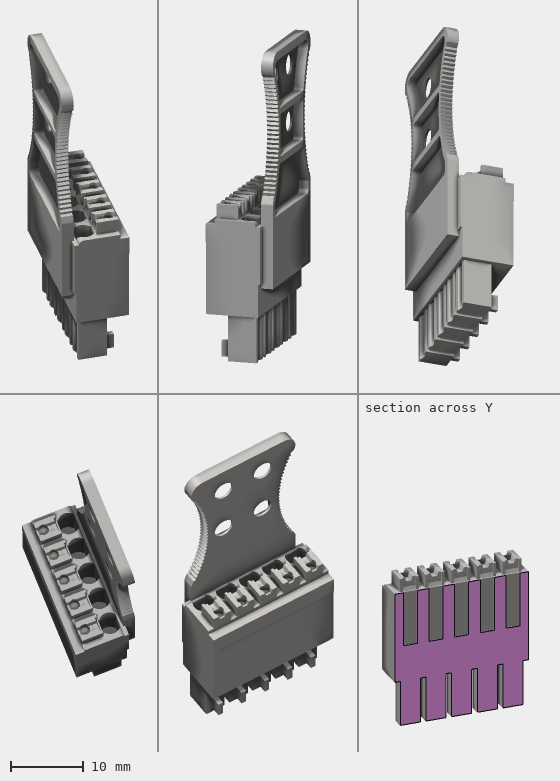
import cadquery as cq
import math


contact_count = 5
pitch = 3.81
contact_xs = [(i - (contact_count - 1) / 2) * pitch for i in range(contact_count)]

housing_width = 19.84
housing_bottom_z = 6.65
housing_top_z = 20.07
shoulder_z = 19.4
housing_back_y = 9.2
back_lip_y = 9.3
back_lip_bottom_z = 16.8
raised_back_y = 8.0
raised_front_y = 2.07
raised_front_radius = housing_top_z - shoulder_z
seat_y = 1.7
flange_y = 1.43
flange_bottom_z = 11.3

wire_hole_radius = 1.53
wire_hole_y = 3.35
wire_hole_depth = 8.0

prong_width = 3.04
prong_front_y = 2.2
prong_back_y = 6.28
groove_width = 1.72
groove_depth = 0.3
catch_width = 0.74
catch_back_y = 7.6
catch_bottom_z = 0.35
catch_top_z = 2.6

button_width = 2.8
button_front_y = 4.87
button_back_y = raised_back_y
button_top_z = 22.05
button_depth = 3.0
tongue_width = 2.0
tongue_front_y = 4.7
notch_back_y = 5.15
ramp_top_z = 20.65
ramp_bottom_z = housing_top_z
slot_top_width = 1.18
slot_floor_width = 0.72
slot_depth = 0.6
dimple_radius = 0.74
dimple_y = 7.03
dimple_depth = 1.5

handle_width = 17.2
handle_thickness = seat_y
handle_bottom_z = 10.5
handle_top_z = 43.6
handle_corner_radius = 1.97
handle_corner_tail_angle = 28.0
shoulder_start_z = 22.4
shoulder_blend_radius = 0.7

waist_z = 31.85
waist_half_width = 6.03
grip_radius = 18.0
grip_center_x = waist_half_width + grip_radius
tooth_angle = 2.02
tooth_depth = 0.3
teeth_each_way = 14

pocket_depth = 1.38
pocket_side_radius = grip_radius + 0.97
pocket_corner_radius = 0.5
upper_pocket_z = (35.42, 42.38)
upper_pocket_top_radius = 1.0
middle_pocket_z = (28.48, 34.5)
lower_pocket_z = (20.43, 27.52)
lower_pocket_width = 15.45
lower_pocket_bottom_radius = 0.8

handle_hole_diameter = 2.9
handle_hole_spacing_x = 6.44
handle_hole_zs = (31.5, 39.5)


def block(x_center, width, y_range, z_range):
    """Box centred on x_center in X, spanning the given Y and Z ranges."""
    return cq.Workplane("XY").box(
        width, y_range[1] - y_range[0], z_range[1] - z_range[0], centered=(True, False, False)
    ).translate((x_center, y_range[0], z_range[0]))


def button_blank(x):
    """Button outline: the block with the tongue that stands proud of it inside the housing."""
    bottom_z = housing_top_z - button_depth
    body = block(x, button_width, (button_front_y, button_back_y), (bottom_z, button_top_z))
    tongue = block(x, tongue_width, (tongue_front_y, button_back_y), (bottom_z, housing_top_z))
    return body.union(tongue)


def front_notch(x):
    """Notch in the front of a button, with a steep ramp for its floor."""
    return (
        cq.Workplane("YZ")
        .polyline([
            (tongue_front_y, ramp_bottom_z),
            (button_front_y, ramp_bottom_z),
            (notch_back_y, ramp_top_z),
            (notch_back_y, button_top_z),
            (tongue_front_y, button_top_z),
        ])
        .close()
        .extrude(tongue_width / 2, both=True)
        .translate((x, 0, 0))
    )


def screwdriver_slot(x):
    """Slot along the top of a button, narrowing to its floor."""
    slot_floor_z = button_top_z - slot_depth
    return (
        cq.Workplane("XZ", origin=(x, button_front_y, 0))
        .polyline([
            (-slot_floor_width / 2, slot_floor_z),
            (slot_floor_width / 2, slot_floor_z),
            (slot_top_width / 2, button_top_z),
            (-slot_top_width / 2, button_top_z),
        ])
        .close()
        .extrude(-(button_back_y - button_front_y))
    )


def dimple(x):
    """Round blind hole in the slot of a button."""
    return (
        cq.Workplane("XY", origin=(x, dimple_y, button_top_z))
        .circle(dimple_radius)
        .extrude(-dimple_depth)
    )


def make_button(x):
    return button_blank(x).cut(front_notch(x)).cut(screwdriver_slot(x)).cut(dimple(x))


def housing_body():
    """Side profile drawn across the full width, including the flanges beside the handle."""
    arc_offset = raised_front_radius * (1 - math.cos(math.radians(45)))
    return (
        cq.Workplane("YZ")
        .moveTo(seat_y, housing_bottom_z)
        .lineTo(housing_back_y, housing_bottom_z)
        .lineTo(housing_back_y, back_lip_bottom_z)
        .lineTo(back_lip_y, back_lip_bottom_z)
        .lineTo(back_lip_y, shoulder_z)
        .lineTo(raised_back_y, shoulder_z)
        .lineTo(raised_back_y, housing_top_z)
        .lineTo(raised_front_y + raised_front_radius, housing_top_z)
        .threePointArc(
            (raised_front_y + arc_offset, housing_top_z - arc_offset),
            (raised_front_y, shoulder_z),
        )
        .lineTo(flange_y, shoulder_z)
        .lineTo(flange_y, flange_bottom_z)
        .lineTo(seat_y, flange_bottom_z)
        .close()
        .extrude(housing_width / 2, both=True)
    )


def prong(x):
    """Prong with a shallow round groove down its front and a catch on its back."""
    prong_x = prong_width / 2
    groove_x = groove_width / 2
    body = (
        cq.Workplane("XY", origin=(x, 0, 0))
        .moveTo(-prong_x, prong_back_y)
        .lineTo(-prong_x, prong_front_y)
        .lineTo(-groove_x, prong_front_y)
        .threePointArc((0, prong_front_y + groove_depth), (groove_x, prong_front_y))
        .lineTo(prong_x, prong_front_y)
        .lineTo(prong_x, prong_back_y)
        .close()
        .extrude(housing_bottom_z)
    )
    catch = block(x, catch_width, (prong_back_y, catch_back_y), (catch_bottom_z, catch_top_z))
    return body.union(catch)


def wire_hole(x):
    """Round hole with a flat front and a flat-sided recess reaching back to the button's tongue."""
    y_range = (raised_front_y, tongue_front_y)
    z_range = (housing_top_z - wire_hole_depth, housing_top_z)
    round_part = (
        cq.Workplane("XY", origin=(x, wire_hole_y, housing_top_z))
        .circle(wire_hole_radius)
        .extrude(-wire_hole_depth)
        .intersect(block(x, pitch, y_range, z_range))
    )
    return round_part.union(block(x, tongue_width, y_range, z_range))


def make_housing():
    housing = housing_body()
    handle_seat = block(0, handle_width, (0, seat_y), (handle_bottom_z, housing_top_z))
    housing = housing.cut(handle_seat)
    for x in contact_xs:
        housing = housing.union(prong(x)).cut(wire_hole(x)).cut(button_blank(x))
    return housing


def grip_point(side, radius, angle):
    """Point at an angle above the waist on a grip arc; side is -1 for left and 1 for right."""
    a = math.radians(angle)
    return (side * (grip_center_x - radius * math.cos(a)), waist_z + radius * math.sin(a))


def grip_points(side):
    """Tooth tips, each followed by the valley above it, from the bottom of the grip to its top."""
    points = []
    for i in range(-teeth_each_way, teeth_each_way):
        points.append(grip_point(side, grip_radius, i * tooth_angle))
        points.append(grip_point(side, grip_radius + tooth_depth, (i + 0.5) * tooth_angle))
    return points


def handle_blank():
    half = handle_width / 2
    top_flat_x = half - handle_corner_radius
    corner_z = handle_top_z - handle_corner_radius
    tail = math.radians(handle_corner_tail_angle)
    tail_x = top_flat_x + handle_corner_radius * math.cos(tail)
    tail_z = corner_z - handle_corner_radius * math.sin(tail)
    left_grip = grip_points(-1)
    right_grip = grip_points(1)[::-1]
    outline = (
        cq.Workplane("XZ")
        .moveTo(half, handle_bottom_z)
        .lineTo(-half, handle_bottom_z)
        .lineTo(-half, shoulder_start_z)
    )
    for point in left_grip:
        outline = outline.lineTo(*point)
    outline = (
        outline.lineTo(-tail_x, tail_z)
        .threePointArc((-half, corner_z), (-top_flat_x, handle_top_z))
        .lineTo(top_flat_x, handle_top_z)
        .threePointArc((half, corner_z), (tail_x, tail_z))
    )
    for point in right_grip:
        outline = outline.lineTo(*point)
    blank = outline.lineTo(half, shoulder_start_z).close().extrude(-handle_thickness)
    selection_margin = 0.1
    shoulder_corners = cq.selectors.BoxSelector(
        (-handle_width, 0, shoulder_start_z - selection_margin),
        (handle_width, handle_thickness, shoulder_start_z + selection_margin),
    )
    return blank.edges("|Y").edges(shoulder_corners).fillet(shoulder_blend_radius)


def pocket(z_range, width, bottom_radius, top_radius):
    """Pocket whose sides follow the grips."""
    shape = block(0, width, (0, pocket_depth), z_range)
    for side in (-1, 1):
        grip = (
            cq.Workplane("XZ", origin=(side * grip_center_x, 0, waist_z))
            .circle(pocket_side_radius)
            .extrude(-pocket_depth)
        )
        shape = shape.cut(grip)
    shape = shape.faces("<Z").edges("|Y").fillet(bottom_radius)
    return shape.faces(">Z").edges("|Y").fillet(top_radius)


def make_handle():
    handle = handle_blank()
    pockets = [
        pocket(upper_pocket_z, handle_width, pocket_corner_radius, upper_pocket_top_radius),
        pocket(middle_pocket_z, handle_width, pocket_corner_radius, pocket_corner_radius),
        pocket(lower_pocket_z, lower_pocket_width, lower_pocket_bottom_radius, pocket_corner_radius),
    ]
    for recess in pockets:
        handle = handle.cut(recess)
    hole_centers = [(side * handle_hole_spacing_x / 2, z) for side in (-1, 1) for z in handle_hole_zs]
    holes = (
        cq.Workplane("XZ")
        .pushPoints(hole_centers)
        .circle(handle_hole_diameter / 2)
        .extrude(-handle_thickness)
    )
    return handle.cut(holes)


housing = make_housing()
handle = make_handle()
buttons = [make_button(x) for x in contact_xs]

result = cq.Compound.makeCompound([housing.val(), handle.val(), *[button.val() for button in buttons]])